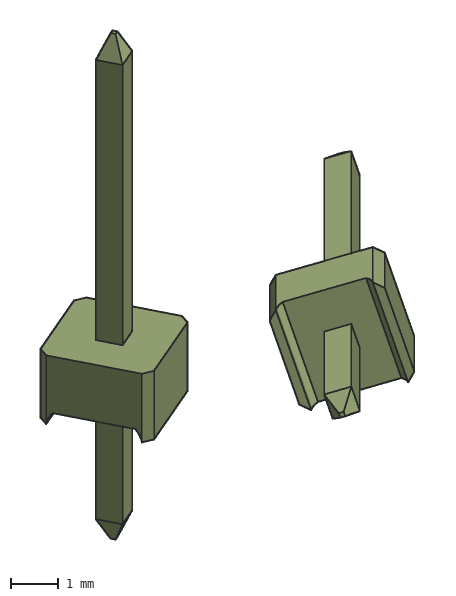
import cadquery as cq
import math

total_height = 12.5
top_z = total_height / 2
bottom_z = -total_height / 2

housing_length = 2.54
housing_width = 2.45
housing_height = 1.7
housing_top_z = -1.25
corner_chamfer = 0.2

channel_depth = 0.3
foot_width = 0.2
channel_side_run = 0.15
channel_side_bulge = 0.02

pin_width = 0.6
tip_width = 0.11
tip_length = 0.58

housing_bottom_z = housing_top_z - housing_height
channel_top_z = housing_bottom_z + channel_depth


def make_channel():
    """Cutter along Y with a flat roof and slightly rounded sides."""
    mouth_x = housing_length / 2 - foot_width
    roof_x = mouth_x - channel_side_run
    chord = math.hypot(channel_side_run, channel_depth)
    bow_x = (mouth_x + roof_x) / 2 + channel_side_bulge * channel_depth / chord
    bow_z = (housing_bottom_z + channel_top_z) / 2 + channel_side_bulge * channel_side_run / chord
    return (
        cq.Workplane("XZ")
        .moveTo(-mouth_x, housing_bottom_z)
        .threePointArc((-bow_x, bow_z), (-roof_x, channel_top_z))
        .lineTo(roof_x, channel_top_z)
        .threePointArc((bow_x, bow_z), (mouth_x, housing_bottom_z))
        .close()
        .extrude(housing_width / 2, both=True)
    )


def make_housing():
    """Block with chamfered upright corners and a channel underneath."""
    block = (
        cq.Workplane("XY", origin=(0, 0, housing_bottom_z))
        .rect(housing_length, housing_width)
        .extrude(housing_height)
        .edges("|Z")
        .chamfer(corner_chamfer)
    )
    return block.cut(make_channel())


def make_pin(base_z, end_z):
    """Square pin standing on the housing at base_z, with a blunt pyramid tip at end_z."""
    direction = math.copysign(1, end_z - base_z)
    shank_length = abs(end_z - base_z) - tip_length
    base_plane = cq.Plane(origin=(0, 0, base_z), xDir=(1, 0, 0), normal=(0, 0, direction))
    shank = cq.Workplane(base_plane).rect(pin_width, pin_width).extrude(shank_length)
    tip = (
        cq.Workplane(base_plane)
        .workplane(offset=shank_length)
        .rect(pin_width, pin_width)
        .workplane(offset=tip_length)
        .rect(tip_width, tip_width)
        .loft(ruled=True)
    )
    return shank.union(tip)


housing = make_housing()
pins = [
    make_pin(base_z, end_z)
    for base_z, end_z in ((housing_top_z, top_z), (channel_top_z, bottom_z))
]

result = cq.Compound.makeCompound([housing.val(), *(pin.val() for pin in pins)])